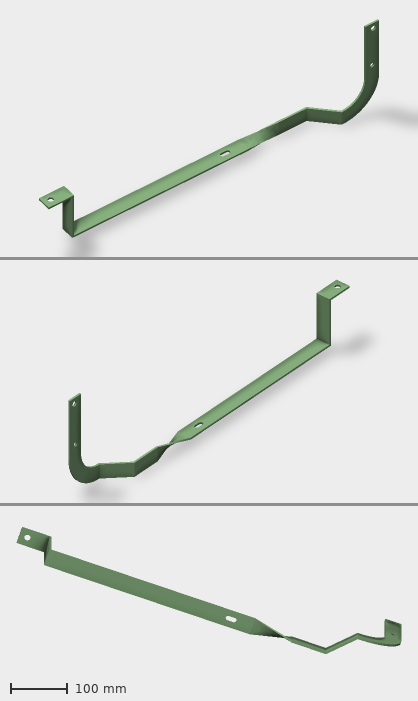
import cadquery as cq
import math

WIDTH = 30.0
THICK = 4.0
HALF_T = THICK / 2

TOTAL_X = 61.0
TOTAL_Y = 696.0
TOTAL_Z = 207.0

BAR_X = WIDTH / 2
BAR_Z = WIDTH / 2
HANGER_X = TOTAL_X - HALF_T

BEND_OUTER_R = 80.0
BEND_INNER_R = BEND_OUTER_R - WIDTH

LEG_BACK_Y = 55.0
TWIST_START_Y = 434.0
TWIST_END_Y = 509.0
JOG_START_Y = 572.0
JOG_END_Y = TOTAL_Y - BEND_OUTER_R

TWIST_ANGLE = -90.0

FOOT_TOP_Z = 114.0

FOOT_HOLE_D = 11.0
FOOT_HOLE_Y = 15.0
SLOT_WIDTH = 9.0
SLOT_LENGTH = 20.0
SLOT_Y = 394.5
HANGER_TOP_HOLE_D = 11.0
HANGER_TOP_HOLE_DROP = 12.5
HANGER_TOP_HOLE_EDGE = 12.5
HANGER_LOW_HOLE_D = 9.0
HANGER_LOW_HOLE_DROP = 100.0


def flat_bar_with_foot():
    """Z-shaped run: foot flange, upright leg and the long flat bar."""
    leg_front_y = LEG_BACK_Y - THICK
    bar_bottom = BAR_Z - HALF_T
    bar_top = BAR_Z + HALF_T
    outline = [
        (0, FOOT_TOP_Z),
        (LEG_BACK_Y, FOOT_TOP_Z),
        (LEG_BACK_Y, bar_top),
        (TWIST_START_Y, bar_top),
        (TWIST_START_Y, bar_bottom),
        (leg_front_y, bar_bottom),
        (leg_front_y, FOOT_TOP_Z - THICK),
        (0, FOOT_TOP_Z - THICK),
    ]
    return cq.Workplane("YZ").polyline(outline).close().extrude(WIDTH)


def bar_section_corners(y, angle):
    """Corners of the bar section at station y, turned about the bar's centre line."""
    turn = math.radians(angle)
    corners = []
    for u, v in [(-1, -1), (1, -1), (1, 1), (-1, 1)]:
        across = u * WIDTH / 2
        through = v * HALF_T
        x = BAR_X + across * math.cos(turn) - through * math.sin(turn)
        z = BAR_Z + across * math.sin(turn) + through * math.cos(turn)
        corners.append(cq.Vector(x, y, z))
    return corners


def twist():
    """Quarter twist with four straight edges, from lying flat to standing on edge."""
    flat = bar_section_corners(TWIST_START_Y, 0)
    on_edge = bar_section_corners(TWIST_END_Y, TWIST_ANGLE)
    faces = []
    for corners in (flat, on_edge):
        faces.append(cq.Face.makeFromWires(cq.Wire.makePolygon(corners, close=True)))
    for i in range(len(flat)):
        flat_side = cq.Edge.makeLine(flat[i - 1], flat[i])
        on_edge_side = cq.Edge.makeLine(on_edge[i - 1], on_edge[i])
        faces.append(cq.Face.makeRuledSurface(flat_side, on_edge_side))
    shell = cq.Shell.makeShell(faces)
    return cq.Workplane(cq.Solid.makeSolid(shell).fix())


def upright_bar_with_jog():
    """Bar on edge that steps sideways to the hanger, with mitred bends of even thickness."""
    jog_angle = math.atan2(HANGER_X - BAR_X, JOG_END_Y - JOG_START_Y)
    mitre = THICK * math.tan(jog_angle / 2)
    outline = [
        (BAR_X - HALF_T, TWIST_END_Y),
        (BAR_X + HALF_T, TWIST_END_Y),
        (BAR_X + HALF_T, JOG_START_Y - mitre),
        (HANGER_X + HALF_T, JOG_END_Y - mitre),
        (HANGER_X + HALF_T, JOG_END_Y),
        (HANGER_X - HALF_T, JOG_END_Y),
        (BAR_X - HALF_T, JOG_START_Y),
    ]
    return cq.Workplane("XY").polyline(outline).close().extrude(WIDTH)


def hanger():
    """Upright arm that curves up from the end of the jog."""
    inner_y = TOTAL_Y - WIDTH
    diagonal = math.sqrt(0.5)
    outer_mid = (JOG_END_Y + BEND_OUTER_R * diagonal, BEND_OUTER_R * (1 - diagonal))
    inner_mid = (JOG_END_Y + BEND_INNER_R * diagonal, BEND_OUTER_R - BEND_INNER_R * diagonal)
    return (
        cq.Workplane("YZ", origin=(HANGER_X - HALF_T, 0, 0))
        .moveTo(JOG_END_Y, 0)
        .threePointArc(outer_mid, (TOTAL_Y, BEND_OUTER_R))
        .lineTo(TOTAL_Y, TOTAL_Z)
        .lineTo(inner_y, TOTAL_Z)
        .lineTo(inner_y, BEND_OUTER_R)
        .threePointArc(inner_mid, (JOG_END_Y, WIDTH))
        .close()
        .extrude(THICK)
    )


def foot_hole():
    """Round hole through the foot flange."""
    return (
        cq.Workplane("XY", origin=(BAR_X, FOOT_HOLE_Y, FOOT_TOP_Z - THICK))
        .circle(FOOT_HOLE_D / 2)
        .extrude(THICK)
    )


def bar_slot():
    """Round-ended slot through the flat bar, running along Y."""
    return (
        cq.Workplane("XY", origin=(BAR_X, SLOT_Y, BAR_Z - HALF_T))
        .slot2D(SLOT_LENGTH, SLOT_WIDTH, angle=90)
        .extrude(THICK)
    )


def hanger_hole(diameter, edge_distance, drop):
    """Hole through the hanger, placed from its back edge and its top end."""
    return (
        cq.Workplane("YZ", origin=(HANGER_X - HALF_T, TOTAL_Y - edge_distance, TOTAL_Z - drop))
        .circle(diameter / 2)
        .extrude(THICK)
    )


bracket = flat_bar_with_foot().union(twist()).union(upright_bar_with_jog()).union(hanger())

result = (
    bracket.cut(foot_hole())
    .cut(bar_slot())
    .cut(hanger_hole(HANGER_TOP_HOLE_D, HANGER_TOP_HOLE_EDGE, HANGER_TOP_HOLE_DROP))
    .cut(hanger_hole(HANGER_LOW_HOLE_D, WIDTH / 2, HANGER_LOW_HOLE_DROP))
)